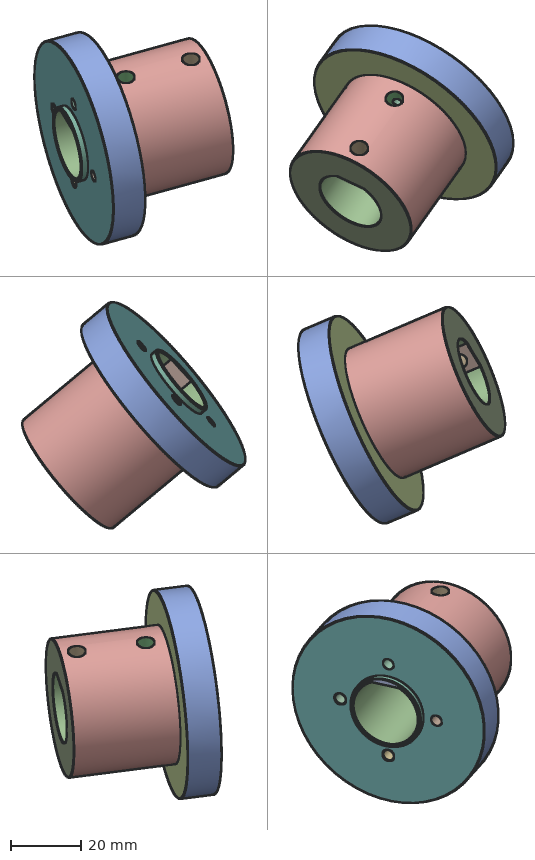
import cadquery as cq
import math

flange_diameter = 60.0
flange_thickness = 10.0
hub_diameter = 40.0
hub_length = 31.0
collar_diameter = 22.0
collar_length = 2.0
edge_chamfer = 0.2

bore_diameter = 20.0
bore_flat_height = 9.0

face_hole_diameter = 3.3
face_hole_depth = 15.0
face_hole_circle_radius = 15.0
drill_point_angle = 118.0
hole_chamfer = 0.2
plain_hole_angles = (0, 90)
chamfered_hole_angles = (180, 270)

radial_hole_diameter = 5.0
radial_hole_end_distance = 5.0
radial_hole_spacing = 20.0

collar_front = -collar_length
hub_back = flange_thickness + hub_length
total_length = hub_back - collar_front


def cylinder_along_y(diameter, y_start, length):
    """Solid cylinder on the Y axis, running toward +Y from y_start."""
    plane = cq.Plane(origin=(0, y_start, 0), xDir=(-1, 0, 0), normal=(0, 1, 0))
    return cq.Workplane(plane).circle(diameter / 2).extrude(length)


def make_body():
    """Collar, flange and hub with their exposed outer rims chamfered."""
    flange = cylinder_along_y(flange_diameter, 0, flange_thickness)
    flange = flange.edges().chamfer(edge_chamfer)
    hub = cylinder_along_y(hub_diameter, 0, hub_back)
    hub = hub.faces(">Y").edges().chamfer(edge_chamfer)
    collar = cylinder_along_y(collar_diameter, collar_front, collar_length + flange_thickness)
    collar = collar.faces("<Y").edges().chamfer(edge_chamfer)
    return flange.union(hub).union(collar)


def cut_bore(body):
    """Cut the D-shaped bore and chamfer its rim at both ends."""
    radius = bore_diameter / 2
    half_flat = math.sqrt(radius**2 - bore_flat_height**2)
    bore = (
        cq.Workplane("XZ", origin=(0, hub_back, 0))
        .moveTo(-half_flat, bore_flat_height)
        .threePointArc((0, -radius), (half_flat, bore_flat_height))
        .close()
        .extrude(total_length)
    )
    bored = body.cut(bore)
    reach = radius + edge_chamfer
    rim_region = cq.selectors.BoxSelector(
        (-reach, collar_front - edge_chamfer, -reach),
        (reach, hub_back + edge_chamfer, reach),
        boundingbox=True,
    )
    return bored.edges("<Y or >Y").edges(rim_region).chamfer(edge_chamfer)


def make_face_hole(angle, chamfered):
    """Drilled hole with a conical point, optionally with a chamfered mouth."""
    radius = face_hole_diameter / 2
    point_length = radius / math.tan(math.radians(drill_point_angle / 2))
    profile = cq.Workplane("XY").moveTo(0, 0)
    if chamfered:
        profile = profile.lineTo(radius + hole_chamfer, 0).lineTo(radius, hole_chamfer)
    else:
        profile = profile.lineTo(radius, 0)
    profile = (
        profile.lineTo(radius, face_hole_depth)
        .lineTo(0, face_hole_depth + point_length)
        .close()
    )
    x = face_hole_circle_radius * math.cos(math.radians(angle))
    z = face_hole_circle_radius * math.sin(math.radians(angle))
    return profile.revolve(360, (0, 0, 0), (0, 1, 0)).translate((x, 0, z))


def make_radial_hole(y):
    """Cylindrical cutter from the bore axis up through the top of the hub."""
    return (
        cq.Workplane("XY", origin=(0, y, 0))
        .circle(radial_hole_diameter / 2)
        .extrude(hub_diameter / 2)
    )


result = cut_bore(make_body())

for hole_angle in plain_hole_angles:
    result = result.cut(make_face_hole(hole_angle, chamfered=False))
for hole_angle in chamfered_hole_angles:
    result = result.cut(make_face_hole(hole_angle, chamfered=True))

rear_hole_y = hub_back - radial_hole_end_distance
for hole_y in (rear_hole_y, rear_hole_y - radial_hole_spacing):
    result = result.cut(make_radial_hole(hole_y))